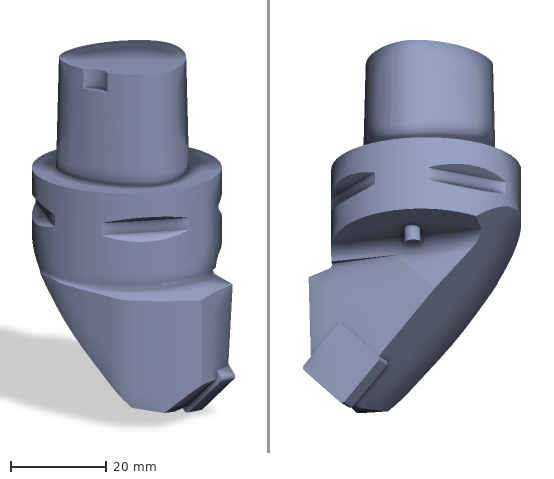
import cadquery as cq
import math

FAR = 60.0

SHANK_LENGTH = 24.0
SHANK_BASE_WIDTH = 28.0
SHANK_TAPER = 1 / 20
LOBE_HEIGHT = 0.9
LOBE_HALF_ANGLE = math.radians(27)
NOTCH_RADIUS = 3.85
NOTCH_INNERMOST_Y = -10.9
NOTCH_DEPTH = 4.2

FLANGE_RADIUS = 20.0
FLANGE_HEIGHT = 20.0
GROOVE_CENTER_Z = -8.05
GROOVE_FLOOR_HEIGHT = 2.6
GROOVE_DEPTH = 2.4
GROOVE_FLANK_ANGLE = 30.0
GROOVE_ANGLES = (45, 135, 225, 315)

NECK_FILLET = 1.0
HEAD_TOP_SLOPE = math.radians(15)
HEAD_REACH_X = 25.2
HEAD_REACH_Y = -21.59
ROOT_RADIUS = 20.25
BACK_START_X = -8.5
BACK_ARC_START = (-5.4, -19.7)
BACK_FLAT_START_X = 3.7
BACK_FLAT_END_X = 9.9
CORNER_ARC_END = (13.9, -20.6)
FRONT_ARC_END_Y = -10.4

SLANT_SUM = -31.3
RELIEF_DIFFERENCE = -66.6
TIP_RADIUS = 1.2
UNDERSIDE_POINT = (14.4, -20.2, -45.6)
UNDERSIDE_SLOPE_X = -0.05
UNDERSIDE_SLOPE_Y = -0.243

CHIP_WALL_Y = 4.1
CHIP_ROOF_EDGE_Z = -15.9
CHIP_ROOF_ANGLE = math.radians(5.6)
CHIP_FILLET = 3.5
RAKE_ANGLE = math.radians(8)
RAKE_SETBACK = 0.25

NOZZLE_DIAMETER = 3.3
NOZZLE_LENGTH = 2.9
NOZZLE_Y = 10.6
NOZZLE_TILT = math.radians(5)

INSERT_SIDE = 12.7
INSERT_THICKNESS = 4.76
INSERT_CORNER_RADIUS = 0.8
CUTTING_X = 27.0
CUTTING_Z = -50.32


def lobed_wire(z):
    """Outline of constant width whose three lobes point to 90, 210 and 330 degrees."""
    radius = (SHANK_BASE_WIDTH - SHANK_TAPER * z) / 2

    def edge(start, end):
        def point(t):
            turn = start + t * (end - start)
            support = radius - LOBE_HEIGHT * math.sin(3 * turn)
            slope = -3 * LOBE_HEIGHT * math.cos(3 * turn)
            x = support * math.cos(turn) - slope * math.sin(turn)
            y = support * math.sin(turn) + slope * math.cos(turn)
            return (x, y)

        return cq.Workplane("XY", origin=(0, 0, z)).parametricCurve(point, N=24, makeWire=False).val()

    edges = []
    for tip in (math.pi / 2, math.pi * 7 / 6, math.pi * 11 / 6):
        lobe_end = tip + LOBE_HALF_ANGLE
        edges.append(edge(tip - LOBE_HALF_ANGLE, lobe_end))
        edges.append(edge(lobe_end, tip + math.pi * 2 / 3 - LOBE_HALF_ANGLE))
    return cq.Wire.assembleEdges(edges)


def make_shank():
    taper = cq.Solid.makeLoft([lobed_wire(0), lobed_wire(SHANK_LENGTH)], True)
    notch = (
        cq.Workplane("XY", origin=(0, NOTCH_INNERMOST_Y - NOTCH_RADIUS, SHANK_LENGTH))
        .circle(NOTCH_RADIUS)
        .extrude(-NOTCH_DEPTH)
    )
    return cq.Workplane(taper).cut(notch)


def make_groove_cutter():
    """Trapezoidal bar along Y that cuts one groove into the +X side of the flange."""
    floor_x = FLANGE_RADIUS - GROOVE_DEPTH
    floor_half = GROOVE_FLOOR_HEIGHT / 2
    mouth_x = FLANGE_RADIUS + GROOVE_DEPTH
    mouth_half = floor_half + (mouth_x - floor_x) * math.tan(math.radians(GROOVE_FLANK_ANGLE))
    return (
        cq.Workplane("XZ")
        .polyline(
            [
                (floor_x, GROOVE_CENTER_Z - floor_half),
                (mouth_x, GROOVE_CENTER_Z - mouth_half),
                (mouth_x, GROOVE_CENTER_Z + mouth_half),
                (floor_x, GROOVE_CENTER_Z + floor_half),
            ]
        )
        .close()
        .extrude(FLANGE_RADIUS, both=True)
    )


def make_turned_blank():
    """Flange, neck fillet and conical head top, turned about Z."""
    tangent_length = NECK_FILLET * math.tan((math.pi / 2 - HEAD_TOP_SLOPE) / 2)
    cone_start_z = -FLANGE_HEIGHT - tangent_length
    fillet_end = (
        FLANGE_RADIUS + tangent_length * math.cos(HEAD_TOP_SLOPE),
        cone_start_z - tangent_length * math.sin(HEAD_TOP_SLOPE),
    )
    rim_z = cone_start_z - (FAR - FLANGE_RADIUS) * math.tan(HEAD_TOP_SLOPE)
    return (
        cq.Workplane("XZ")
        .moveTo(0, 0)
        .lineTo(FLANGE_RADIUS, 0)
        .lineTo(FLANGE_RADIUS, -FLANGE_HEIGHT)
        .tangentArcPoint(fillet_end, relative=False)
        .lineTo(FAR, rim_z)
        .lineTo(FAR, -FAR)
        .lineTo(0, -FAR)
        .close()
        .revolve(360, (0, 0, 0), (0, 1, 0))
    )


def make_plan_prism():
    """Root circle joined with the head outline, extruded down along Z."""
    back_start_y = -math.sqrt(ROOT_RADIUS**2 - BACK_START_X**2)
    head = (
        cq.Workplane("XY")
        .moveTo(BACK_START_X, back_start_y)
        .lineTo(*BACK_ARC_START)
        .tangentArcPoint((BACK_FLAT_START_X, HEAD_REACH_Y), relative=False)
        .lineTo(BACK_FLAT_END_X, HEAD_REACH_Y)
        .tangentArcPoint(CORNER_ARC_END, relative=False)
        .tangentArcPoint((HEAD_REACH_X, FRONT_ARC_END_Y), relative=False)
        .lineTo(HEAD_REACH_X, CHIP_WALL_Y)
        .lineTo(0, CHIP_WALL_Y)
        .close()
        .extrude(-FAR)
    )
    return cq.Workplane("XY").circle(ROOT_RADIUS).extrude(-FAR).union(head)


def make_side_prism():
    """Region above the 45 degree slant and relief faces, rounded where they meet."""
    tip_x = (SLANT_SUM - RELIEF_DIFFERENCE) / 2
    tip_z = (SLANT_SUM + RELIEF_DIFFERENCE) / 2
    return (
        cq.Workplane("XZ")
        .polyline([(tip_x, tip_z), (tip_x + FAR, tip_z + FAR), (tip_x - FAR, tip_z + FAR)])
        .close()
        .extrude(FAR, both=True)
        .edges("<Z")
        .fillet(TIP_RADIUS)
    )


def block_beyond(point, normal):
    """Large block that fills the side of a plane its normal points to."""
    return cq.Workplane(cq.Plane(origin=point, normal=normal)).rect(4 * FAR, 4 * FAR).extrude(FAR)


def chip_roof_z(y):
    return CHIP_ROOF_EDGE_Z - (FLANGE_RADIUS - y) * math.tan(CHIP_ROOF_ANGLE)


def make_chip_space():
    return (
        cq.Workplane("YZ")
        .polyline(
            [
                (CHIP_WALL_Y, -FAR),
                (CHIP_WALL_Y, chip_roof_z(CHIP_WALL_Y)),
                (FAR, chip_roof_z(FAR)),
                (FAR, -FAR),
            ]
        )
        .close()
        .extrude(FAR, both=True)
        .faces("<Y")
        .edges(">Z")
        .fillet(CHIP_FILLET)
    )


def make_nozzle():
    sunk = NOZZLE_LENGTH / 2
    axis = cq.Vector(0, -math.sin(NOZZLE_TILT), -math.cos(NOZZLE_TILT))
    start = cq.Vector(0, NOZZLE_Y, chip_roof_z(NOZZLE_Y)) - axis * sunk
    base = cq.Workplane(cq.Plane(origin=start, normal=axis))
    return base.circle(NOZZLE_DIAMETER / 2).extrude(NOZZLE_LENGTH + sunk)


def make_insert_plane():
    """Plane of the insert face: local X runs down to the +X cutting edge, local Z is the face normal."""
    down_edge = cq.Vector(1, 0, -1).normalized()
    along_y = cq.Vector(0, 1, 0)
    local_x = down_edge * math.cos(RAKE_ANGLE) - along_y * math.sin(RAKE_ANGLE)
    normal = along_y * math.cos(RAKE_ANGLE) + down_edge * math.sin(RAKE_ANGLE)
    inset = INSERT_SIDE / 2 - INSERT_CORNER_RADIUS
    corner_reach = inset * (1 + math.cos(RAKE_ANGLE)) / math.sqrt(2)
    corner_reach += INSERT_CORNER_RADIUS * math.sqrt(1 - normal.x**2)
    center = (
        CUTTING_X - corner_reach,
        INSERT_SIDE / 2 * math.sin(RAKE_ANGLE),
        CUTTING_Z + corner_reach,
    )
    return cq.Plane(origin=center, xDir=local_x, normal=normal)


def make_insert(plane):
    return (
        cq.Workplane(plane)
        .sketch()
        .rect(INSERT_SIDE, INSERT_SIDE)
        .vertices()
        .fillet(INSERT_CORNER_RADIUS)
        .finalize()
        .extrude(-INSERT_THICKNESS)
    )


def make_holder(insert_plane, insert):
    body = make_turned_blank().intersect(make_plan_prism()).intersect(make_side_prism())

    groove = make_groove_cutter()
    for angle in GROOVE_ANGLES:
        body = body.cut(groove.rotate((0, 0, 0), (0, 0, 1), angle))

    rake_point = insert_plane.origin - insert_plane.zDir * RAKE_SETBACK
    below_flange = cq.Workplane("XY", origin=(0, 0, -FLANGE_HEIGHT)).rect(2 * FAR, 2 * FAR).extrude(-FAR)
    body = body.cut(make_chip_space())
    body = body.cut(block_beyond(rake_point, insert_plane.zDir).intersect(below_flange))
    body = body.cut(block_beyond(UNDERSIDE_POINT, (UNDERSIDE_SLOPE_X, UNDERSIDE_SLOPE_Y, -1)))

    return body.union(make_shank()).union(make_nozzle()).cut(insert)


insert_plane = make_insert_plane()
insert = make_insert(insert_plane)
holder = make_holder(insert_plane, insert)

result = cq.Compound.makeCompound([holder.val(), insert.val()])